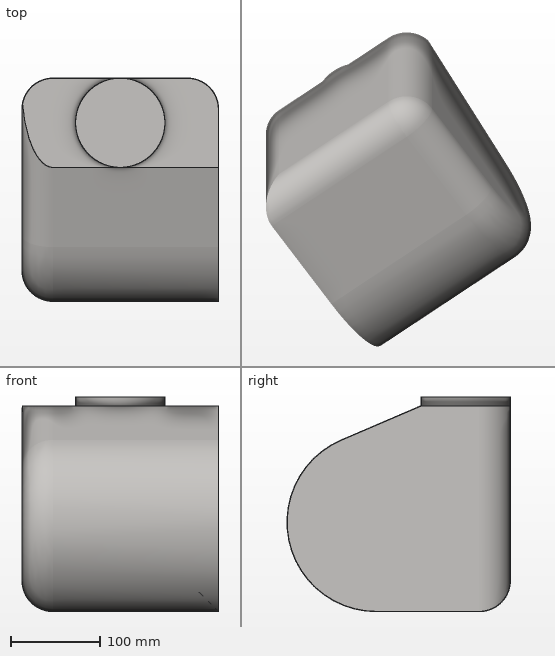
import cadquery as cq
import math

width = 220.0
depth = 250.0
body_height = 230.2
nose_radius = 100.0
top_depth = 100.0
edge_radius = 35.0
disc_diameter = 100.0
disc_height = 10.0

nose_y = nose_radius
nose_z = nose_radius
top_front_y = depth - top_depth
offset_y = top_front_y - nose_y
offset_z = body_height - nose_z
tangent_angle = math.atan2(offset_z, offset_y) + math.acos(nose_radius / math.hypot(offset_y, offset_z))
tangent_y = nose_y + nose_radius * math.cos(tangent_angle)
tangent_z = nose_z + nose_radius * math.sin(tangent_angle)
slope = (body_height - tangent_z) / (top_front_y - tangent_y)
peak_z = body_height + slope * top_depth


def rounded_wedge():
    """Side profile with the slope carried up to the back face, edges rounded."""
    wedge = (
        cq.Workplane("YZ")
        .moveTo(depth, 0)
        .lineTo(depth, peak_z)
        .lineTo(tangent_y, tangent_z)
        .threePointArc((nose_y - nose_radius, nose_z), (nose_y, 0))
        .close()
        .extrude(width)
    )
    left_outline = wedge.faces("<X").edges()
    back_uprights = wedge.faces(">Y").edges("|Z")
    lower_back = wedge.faces(">Y").edges("|X").edges("<Z")
    return wedge.newObject(left_outline.vals() + back_uprights.vals() + lower_back.vals()).fillet(edge_radius)


def flat_topped_body():
    """Wedge cut off level at the body height."""
    keep = cq.Workplane("XY").box(width, depth, body_height, centered=False)
    return rounded_wedge().intersect(keep)


def top_disc():
    """Round disc centred on the flat top."""
    return (
        cq.Workplane("XY", origin=(width / 2, depth - top_depth / 2, body_height))
        .circle(disc_diameter / 2)
        .extrude(disc_height)
    )


result = flat_topped_body().union(top_disc())